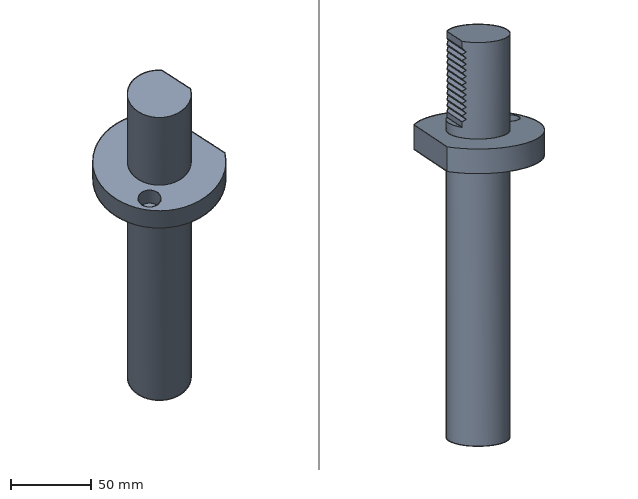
import cadquery as cq
import math

shaft_length = 263.0
shaft_radius = 20.0

flange_radius = 41.5
flange_thickness = 16.0
flange_top = shaft_length - 62.9
flange_flat_y = 32.3
hole_radius = 7.0
hole_depth = 12.0
hole_circle_radius = 31.8
hole_angle = math.radians(-60)

rack_flat_y = 16.0
rack_length = 56.0
groove_count = 12
toothed_length = 47.9
groove_pitch = toothed_length / groove_count
groove_width = groove_pitch
groove_depth = 1.8
first_groove_drop = 6.5


def make_flange():
    bottom = flange_top - flange_thickness
    disc = cq.Workplane("XY").workplane(offset=bottom).circle(flange_radius).extrude(flange_thickness)
    keep = (
        cq.Workplane("XY")
        .box(2 * flange_radius, flange_radius + flange_flat_y, flange_thickness, centered=(True, False, False))
        .translate((0, -flange_radius, bottom))
    )
    hole = (
        cq.Workplane("XY")
        .workplane(offset=flange_top - hole_depth)
        .center(hole_circle_radius * math.cos(hole_angle), hole_circle_radius * math.sin(hole_angle))
        .circle(hole_radius)
        .extrude(hole_depth)
    )
    return disc.intersect(keep).cut(hole)


def cut_rack(shaft):
    flat_cut = (
        cq.Workplane("XY")
        .box(2 * shaft_radius, shaft_radius, rack_length, centered=(True, False, False))
        .translate((0, rack_flat_y, shaft_length - rack_length))
    )
    shaft = shaft.cut(flat_cut)
    for index in range(groove_count):
        groove_z = shaft_length - first_groove_drop - index * groove_pitch
        groove = (
            cq.Workplane("YZ")
            .moveTo(rack_flat_y, groove_z - groove_width / 2)
            .lineTo(rack_flat_y - groove_depth, groove_z)
            .lineTo(rack_flat_y, groove_z + groove_width / 2)
            .close()
            .extrude(shaft_radius, both=True)
        )
        shaft = shaft.cut(groove)
    return shaft


shaft = cq.Workplane("XY").circle(shaft_radius).extrude(shaft_length)
shaft = cut_rack(shaft)
result = shaft.union(make_flange())